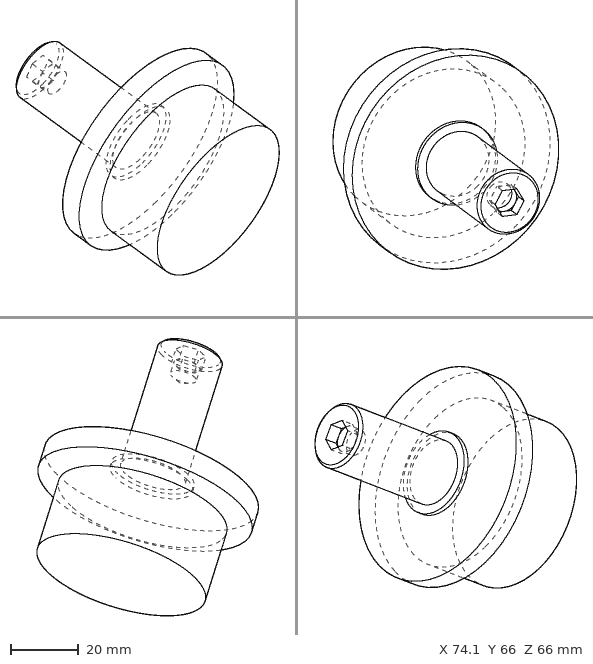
import cadquery as cq
import math

overall_length = 74.1

flange_diameter = 66.0
flange_width = 6.8
tread_diameter = 52.0
roller_width = 32.1
flange_taper_angle = 20.0

collar_diameter = 25.5
collar_width = 1.6
stud_diameter = 20.0
stud_chamfer_length = 0.95
stud_chamfer_height = 0.85

socket_sides = 6
socket_across_flats = 8.0
socket_depth = 4.3
pilot_diameter = 8.0
pilot_depth = 8.0
drill_point_angle = 120.0

flange_radius = flange_diameter / 2
tread_radius = tread_diameter / 2
collar_radius = collar_diameter / 2
stud_radius = stud_diameter / 2
stud_end_radius = stud_radius - stud_chamfer_height
pilot_radius = pilot_diameter / 2
drill_point_length = pilot_radius / math.tan(math.radians(drill_point_angle / 2))
stud_end_x = roller_width - overall_length
taper_length = (flange_radius - tread_radius) * math.tan(math.radians(flange_taper_angle))


def make_roller_and_stud():
    """Half profile in the XY plane, revolved about the X axis."""
    profile = [
        (stud_end_x, 0),
        (stud_end_x, stud_end_radius),
        (stud_end_x + stud_chamfer_length, stud_radius),
        (-collar_width, stud_radius),
        (-collar_width, collar_radius),
        (0, collar_radius),
        (0, flange_radius),
        (flange_width, flange_radius),
        (flange_width + taper_length, tread_radius),
        (roller_width, tread_radius),
        (roller_width, 0),
    ]
    return cq.Workplane("XY").polyline(profile).close().revolve(360, (0, 0), (1, 0))


def make_hexagon_socket():
    """Hexagonal recess in the stud end, with two corners in the XY plane."""
    across_corners = socket_across_flats / math.cos(math.pi / socket_sides)
    stud_end = cq.Workplane("YZ", origin=(stud_end_x, 0, 0))
    return stud_end.polygon(socket_sides, across_corners).extrude(socket_depth)


def make_pilot_hole():
    """Round drilled hole with a conical bottom, revolved about the X axis."""
    pilot_end_x = stud_end_x + pilot_depth
    profile = [
        (stud_end_x, 0),
        (stud_end_x, pilot_radius),
        (pilot_end_x, pilot_radius),
        (pilot_end_x + drill_point_length, 0),
    ]
    return cq.Workplane("XY").polyline(profile).close().revolve(360, (0, 0), (1, 0))


result = make_roller_and_stud().cut(make_hexagon_socket()).cut(make_pilot_hole())